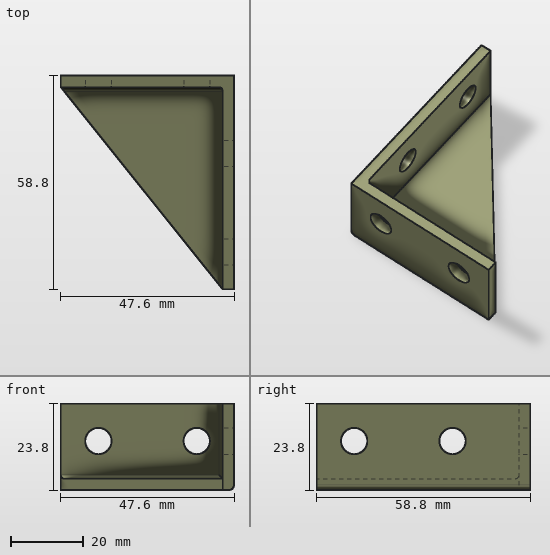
import cadquery as cq
import math

width = 47.65
depth = 58.75
height = 23.8
thickness = 3.2

inner_radius = 1.1
outer_radius = 1.5

hole_diameter = 7.15
hole_end_distance = 10.35
hole_spacing = 27.0
hole_height = 13.5

side_wall_x = width - thickness
back_wall_y = depth - thickness
hole_positions = (hole_end_distance, hole_end_distance + hole_spacing)


def make_body():
    """Triangular floor joined to a back wall (+Y) and a side wall (+X)."""
    floor = (
        cq.Workplane("XY")
        .polyline([(0, back_wall_y), (side_wall_x, 0), (width, 0), (width, depth), (0, depth)])
        .close()
        .extrude(thickness)
    )
    back_wall = cq.Workplane("XY").box(width, thickness, height, centered=False)
    back_wall = back_wall.translate((0, back_wall_y, 0))
    side_wall = cq.Workplane("XY").box(thickness, depth, height, centered=False)
    side_wall = side_wall.translate((side_wall_x, 0, 0))
    body = floor.union(back_wall).union(side_wall).clean()
    return body.edges("|Y and >X and <Z").fillet(outer_radius)


def cut_holes(body):
    """Cut the holes through the back wall and the side wall."""
    radius = hole_diameter / 2
    for position in hole_positions:
        back_start = cq.Vector(position, back_wall_y, hole_height)
        side_start = cq.Vector(side_wall_x, position, hole_height)
        body = body.cut(cq.Solid.makeCylinder(radius, thickness, back_start, cq.Vector(0, 1, 0)))
        body = body.cut(cq.Solid.makeCylinder(radius, thickness, side_start, cq.Vector(1, 0, 0)))
    return body


def fillet_strip(plane, first_direction, second_direction, length):
    """Concave fillet filling the corner at the plane origin, extruded along its normal."""
    first = first_direction * inner_radius
    second = second_direction * inner_radius
    inset = 1 - math.sqrt(0.5)
    return (
        cq.Workplane(plane)
        .moveTo(0, 0)
        .lineTo(first, 0)
        .threePointArc((first * inset, second * inset), (0, second))
        .close()
        .extrude(length)
    )


def make_fillets():
    """Fillets from the back wall to the floor and to the side wall."""
    floor_plane = cq.Plane((0, back_wall_y, thickness), xDir=(0, 1, 0), normal=(1, 0, 0))
    floor_fillet = fillet_strip(floor_plane, -1, 1, side_wall_x)
    slope_trim = (
        cq.Workplane("XY")
        .polyline([(0, back_wall_y), (side_wall_x, 0), (side_wall_x, back_wall_y)])
        .close()
        .extrude(height)
    )
    floor_fillet = floor_fillet.intersect(slope_trim)
    side_plane = cq.Plane((side_wall_x, back_wall_y, thickness), xDir=(1, 0, 0), normal=(0, 0, 1))
    side_fillet = fillet_strip(side_plane, -1, -1, height - thickness)
    return floor_fillet.union(side_fillet)


result = cut_holes(make_body().union(make_fillets()))